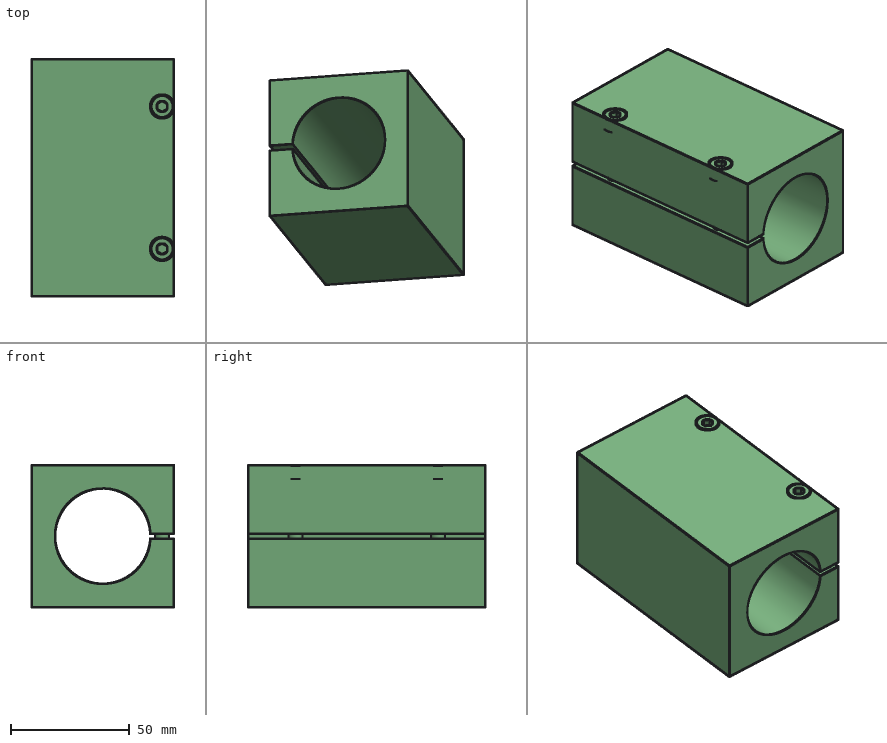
import cadquery as cq
import math

width = 60.0
length = 100.0
height = 60.0
bore_diameter = 40.0
slot_height = 2.0
edge_chamfer = 0.2

screw_x = 25.0
screw_pitch = 60.0
screw_diameter = 6.0
screw_length = 40.0
head_diameter = 9.8
head_height = 6.0
head_chamfer = 0.4
socket_across_flats = 4.0
socket_depth = 3.0
socket_entry_diameter = 4.7

clearance_diameter = 6.1
counterbore_diameter = head_diameter

chamfer_angle = 45.0
top_z = height / 2
seat_z = top_z - head_height
tip_z = seat_z - screw_length
screw_positions = [(screw_x, -screw_pitch / 2), (screw_x, screw_pitch / 2)]


def cylinder(position, diameter, bottom_z, upper_z):
    """Vertical cylinder between two heights."""
    base = cq.Workplane("XY", origin=(*position, bottom_z))
    return base.circle(diameter / 2).extrude(upper_z - bottom_z)


def top_countersink(position, diameter, depth):
    """45 degree cone narrowing downwards from the top face."""
    base = cq.Workplane("XY", origin=(*position, top_z))
    return base.circle(diameter / 2).extrude(-depth, taper=chamfer_angle)


def make_clamp_block():
    """Bored and slit block with chamfered outer edges and bore ends."""
    block = cq.Workplane("XY").box(width, length, height)
    bore = cq.Workplane("XZ").circle(bore_diameter / 2).extrude(length / 2, both=True)
    slot = cq.Workplane("XY").box(width / 2, length, slot_height).translate((width / 4, 0, 0))
    block = block.cut(bore).cut(slot)
    block = block.edges("|Y").edges("<X or >X").chamfer(edge_chamfer)
    return block.faces("<Y or >Y").chamfer(edge_chamfer)


def make_screw_hole(position):
    """Cutter: counterbore with a chamfered rim, clearance hole, then the blind screw hole."""
    counterbore = cylinder(position, counterbore_diameter, seat_z, top_z)
    rim = top_countersink(position, counterbore_diameter + 2 * edge_chamfer, edge_chamfer)
    clearance_hole = cylinder(position, clearance_diameter, 0, seat_z)
    blind_hole = cylinder(position, screw_diameter, tip_z, 0)
    return counterbore.union(rim).union(clearance_hole).union(blind_hole)


def make_screw(position):
    """Cap screw with its head level with the block's top face."""
    head = cylinder(position, head_diameter, seat_z, top_z).faces(">Z").chamfer(head_chamfer)
    shank = cylinder(position, screw_diameter, tip_z, seat_z)
    across_corners = socket_across_flats / math.cos(math.pi / 6)
    socket = (
        cq.Workplane("XY", origin=(*position, top_z))
        .transformed(rotate=(0, 0, 90))
        .polygon(6, across_corners)
        .extrude(-socket_depth)
    )
    entry_depth = (socket_entry_diameter - socket_across_flats) / 2
    socket_entry = top_countersink(position, socket_entry_diameter, entry_depth)
    return head.union(shank).cut(socket).cut(socket_entry)


clamp_block = make_clamp_block()
screws = []
for screw_position in screw_positions:
    clamp_block = clamp_block.cut(make_screw_hole(screw_position))
    screws.append(make_screw(screw_position))

result = cq.Compound.makeCompound([clamp_block.val(), *[screw.val() for screw in screws]])